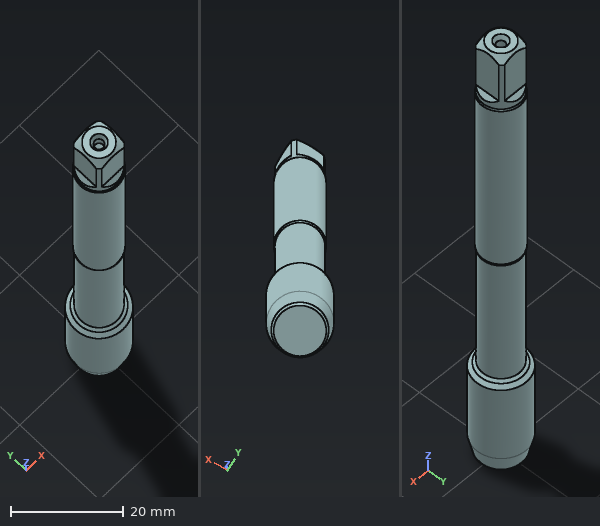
import cadquery as cq
import math

length = 110.0
end_chamfer_height = 0.5
lead_top = 4.6
collar_top = 22.9
collar_cone_top = 24.2
shank_bottom = 54.6
shank_full_bottom = 55.2
shank_full_top = 96.2
shank_top = 96.7
square_bottom = 98.9

cutter_diameter = 12.1
core_diameter = 10.2
core_end_diameter = 9.4
neck_diameter = 8.9
shank_diameter = 9.4
drive_diameter = 9.0
drive_end_diameter = 6.0

square_width = 7.0
center_hole_diameter = 2.0
center_hole_depth = 3.3
countersink_diameter = 3.2
countersink_angle = 60.0
drill_point_angle = 120.0

collar_slope = (collar_cone_top - collar_top) / (cutter_diameter - neck_diameter)
core_top = collar_top + (cutter_diameter - core_diameter) * collar_slope


def revolve_profile(diameter_heights):
    """Revolve (diameter, height) points about Z."""
    points = [(diameter / 2, height) for diameter, height in diameter_heights]
    return cq.Workplane("XZ").polyline(points).close().revolve(360, (0, 0), (0, 1))


def cone_height(large_diameter, small_diameter, included_angle):
    return (large_diameter - small_diameter) / 2 / math.tan(math.radians(included_angle / 2))


def make_shank_blank():
    """Stepped round bar with a 45 degree chamfer at the drive end."""
    drive_chamfer = (drive_diameter - drive_end_diameter) / 2
    return revolve_profile([
        (0, 0),
        (core_end_diameter, 0),
        (core_diameter, end_chamfer_height),
        (core_diameter, core_top),
        (neck_diameter, collar_cone_top),
        (neck_diameter, shank_bottom),
        (shank_diameter, shank_full_bottom),
        (shank_diameter, shank_full_top),
        (drive_diameter, shank_top),
        (drive_diameter, length - drive_chamfer),
        (drive_end_diameter, length),
        (0, length),
    ])


def make_drive_zone():
    """Cylinder around the drive end, above the full shank."""
    return cq.Workplane("XY").workplane(offset=shank_top).circle(drive_diameter / 2).extrude(length - shank_top)


def make_flat_cutter():
    """Cuts one flat of the square; its floor runs out at 45 degrees."""
    flat = square_width / 2
    reach = drive_diameter
    profile = [
        (flat, square_bottom),
        (reach, square_bottom - (reach - flat)),
        (reach, length),
        (flat, length),
    ]
    return cq.Workplane("XZ").polyline(profile).close().extrude(reach, both=True)


def make_center_hole():
    """Countersunk blind hole with a drill point."""
    countersink_bottom = length - cone_height(countersink_diameter, center_hole_diameter, countersink_angle)
    hole_bottom = length - center_hole_depth
    drill_tip = hole_bottom - cone_height(center_hole_diameter, 0, drill_point_angle)
    return revolve_profile([
        (0, length),
        (countersink_diameter, length),
        (center_hole_diameter, countersink_bottom),
        (center_hole_diameter, hole_bottom),
        (0, drill_tip),
    ])


def make_shank():
    """Shank with its core, drive square and centre hole."""
    shank = make_shank_blank()
    flat_cutter = make_flat_cutter()
    drive_zone = make_drive_zone()
    for angle in (0, 90, 180, 270):
        turned_cutter = flat_cutter.rotate((0, 0, 0), (0, 0, 1), angle)
        shank = shank.cut(turned_cutter.intersect(drive_zone))
    return shank.cut(make_center_hole())


def make_cutter():
    """Sleeve around the core, tapered at both ends to the core diameter."""
    return revolve_profile([
        (core_diameter, end_chamfer_height),
        (cutter_diameter, lead_top),
        (cutter_diameter, collar_top),
        (core_diameter, core_top),
    ])


shank = make_shank()
cutter = make_cutter()
result = cq.Compound.makeCompound([shank.val(), cutter.val()])